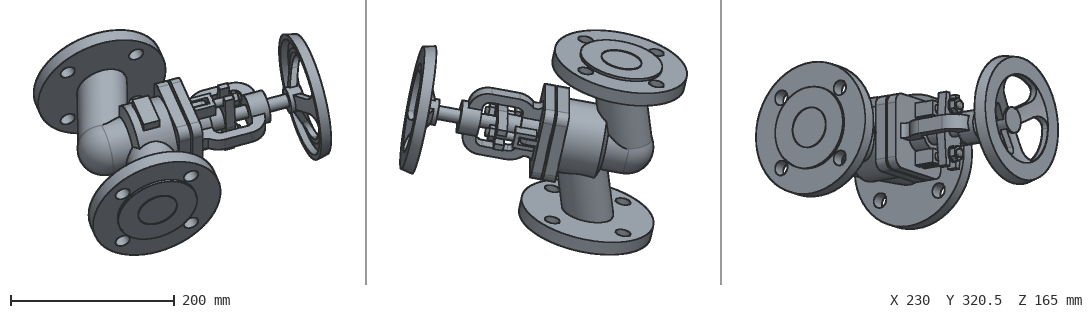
import cadquery as cq
import math


OVERALL_HEIGHT = 320.5

FACE_TO_FACE = 230.0
FLANGE_RADIUS = 165.0 / 2
FLANGE_THICKNESS = 17.3
RAISED_FACE_RADIUS = 51.0
RAISED_FACE_HEIGHT = 3.2
BORE_RADIUS = 25.0
BORE_DEPTH = 1.0
BOLT_CIRCLE_RADIUS = 62.5
BOLT_HOLE_RADIUS = 9.3
BOLT_COUNT = 4

PIPE_RADIUS = 30.8
DOME_DEPTH = 29.5
PIPE_OFFSET = 30.8
NECK_RADIUS = 33.0
NECK_TOP = -2.0
BOWL_RADIUS = 45.5
BOWL_BOTTOM = 3.5
PLATE_LENGTH = 42.3
PLATE_BOTTOM = 14.0
PLATE_TOP = 35.0
PLATE_HEIGHT = 52.0

SQUARE_SIDE = 94.0
SQUARE_CORNER = 12.8
BODY_SQUARE_BOTTOM = 51.3
BODY_SQUARE_TOP = 66.5
BONNET_BOTTOM = 69.0
BONNET_TOP = 81.7
GASKET_RADIUS = 39.7

YOKE_THICKNESS = 18.3
YOKE_HALF_WIDTH = 41.7
YOKE_TOP = 171.5
YOKE_SHOULDER_RADIUS = 24.5
YOKE_BEND_TOP = 112.2
YOKE_BEND_MIDDLE = (39.0, 101.5)
YOKE_BEND_END = (33.5, 93.5)
YOKE_WAIST = (33.0, 87.8)
YOKE_FOOT_HALF_WIDTH = 36.5
YOKE_WINDOW_HALF_WIDTH = 29.8
YOKE_WINDOW_CORNER = 9.0
HUB_RADIUS = 20.2
CHAMBER_TOP = 104.2
BUSH_BOTTOM = 154.5
BUSH_TOP = 179.0

GLAND_RADIUS = 13.8
GLAND_PLATE_BOTTOM = 122.0
GLAND_PLATE_TOP = 134.0
GLAND_PLATE_WIDTH = 35.5
GLAND_PLATE_END_WIDTH = 27.0
GLAND_PLATE_LENGTH = 92.3
GLAND_SLOT_WIDTH = 12.2

STUD_OFFSET = 30.0
STUD_RADIUS = 5.0
STUD_TOP = 146.8
STUD_END_ROUND = 1.5
WASHER_RADIUS = 10.0
WASHER_THICKNESS = 1.5
NUT_CORNERS = 19.2
NUT_HEIGHT = 7.0
STIRRUP_BOTTOM = 84.5
STIRRUP_TOP = 111.0
STIRRUP_WIDTH = 20.8
STIRRUP_DEPTH = 18.0
STIRRUP_SLOT_WIDTH = 10.0
STIRRUP_SLOT_TOP = 105.0
LUG_WIDTH = 7.0
LUG_TOP = 102.5
LUG_DEPTH = 16.0
LUG_ROUND = 6.5

WHEEL_TOP = OVERALL_HEIGHT - FLANGE_RADIUS
WHEEL_BOTTOM = 223.7
WHEEL_TOP_RADIUS = 76.3
WHEEL_BOTTOM_RADIUS = 79.5
RIM_INNER_BOTTOM_RADIUS = 73.0
RIM_INNER_TOP_RADIUS = 70.8
WEB_BOTTOM = 232.5
STEP_RADIUS = 60.5
STEP_BOTTOM = 229.5
CONE_RADIUS = 55.0
WHEEL_HUB_RADIUS = 16.0
WHEEL_HUB_BOTTOM = 207.0
WHEEL_HUB_TOP = 225.0
CONE_BOTTOM = 212.8
WINDOW_RADIUS = 54.5
WINDOW_CORNER = 12.2
SPOKE_WIDTH = 19.2
SPOKE_HEIGHT = 9.3
SPOKE_COUNT = 3
STEM_RADIUS = 8.3


def cylinder(radius, bottom, top, z=0):
    """Cylinder along the stem direction."""
    return cq.Workplane("XZ", origin=(0, bottom, z)).circle(radius).extrude(bottom - top)


def block(width, bottom, top, depth, z=0):
    """Box centred on X = 0 and on the given Z."""
    return cq.Workplane("XY").box(width, top - bottom, depth).translate((0, (top + bottom) / 2, z))


def revolve_about_stem(points):
    """Solid of revolution from (radius, height) points."""
    return cq.Workplane("XY").polyline(points).close().revolve(360, (0, 0, 0), (0, 1, 0))


def pipe_flange():
    """Flange on the -X side with a raised face, a shallow bore recess and four bolt holes."""
    face = -FACE_TO_FACE / 2
    back = face + RAISED_FACE_HEIGHT
    raised = cq.Workplane("YZ", origin=(face, 0, 0)).circle(RAISED_FACE_RADIUS).extrude(RAISED_FACE_HEIGHT)
    disc = cq.Workplane("YZ", origin=(back, 0, 0)).circle(FLANGE_RADIUS).extrude(FLANGE_THICKNESS)
    holes = (
        cq.Workplane("YZ", origin=(back, 0, 0))
        .polarArray(BOLT_CIRCLE_RADIUS, 180 / BOLT_COUNT, 360, BOLT_COUNT)
        .circle(BOLT_HOLE_RADIUS)
        .extrude(FLANGE_THICKNESS)
    )
    recess = cq.Workplane("YZ", origin=(face, 0, 0)).circle(BORE_RADIUS).extrude(BORE_DEPTH)
    return disc.union(raised).cut(holes).cut(recess)


def pipe():
    """Inclined pipe from inside the -X flange down to the bottom of the neck."""
    run = FACE_TO_FACE / 2 - RAISED_FACE_HEIGHT - FLANGE_THICKNESS
    slope = cq.Vector(run, -PIPE_OFFSET, 0)
    overlap = slope.normalized() * (FLANGE_THICKNESS / 2)
    start = cq.Vector(-run, 0, 0) - overlap
    tube = cq.Solid.makeCylinder(PIPE_RADIUS, slope.Length + overlap.Length, start, slope)
    return cq.Workplane(tube)


def body():
    """Bowl, neck and dome around the stem, with a pipe and flange on each side."""
    side = pipe_flange().union(pipe())
    opposite = side.rotate((0, 0, 0), (0, 0, 1), 180)
    diagonal = NECK_RADIUS * math.sqrt(0.5)
    bowl = (
        cq.Workplane("XY")
        .moveTo(0, -DOME_DEPTH - NECK_RADIUS)
        .threePointArc((diagonal, -DOME_DEPTH - diagonal), (NECK_RADIUS, -DOME_DEPTH))
        .lineTo(NECK_RADIUS, NECK_TOP)
        .lineTo(BOWL_RADIUS, BOWL_BOTTOM)
        .lineTo(BOWL_RADIUS, BODY_SQUARE_BOTTOM)
        .lineTo(0, BODY_SQUARE_BOTTOM)
        .close()
        .revolve(360, (0, 0, 0), (0, 1, 0))
    )
    name_plate = block(PLATE_LENGTH, PLATE_BOTTOM, PLATE_TOP, PLATE_HEIGHT, PLATE_HEIGHT / 2)
    return bowl.union(side).union(opposite).union(name_plate)


def square_flange(bottom, top):
    return block(SQUARE_SIDE, bottom, top, SQUARE_SIDE).edges("|Y").fillet(SQUARE_CORNER)


def bonnet_joint():
    """Two square flanges with a round gasket between them."""
    gasket = cylinder(GASKET_RADIUS, BODY_SQUARE_TOP, BONNET_BOTTOM)
    lower = square_flange(BODY_SQUARE_BOTTOM, BODY_SQUARE_TOP)
    upper = square_flange(BONNET_BOTTOM, BONNET_TOP)
    return lower.union(gasket).union(upper)


def yoke_side():
    """Solid +X half of the yoke frame, from the foot up to the top."""
    shoulder_x = YOKE_HALF_WIDTH - YOKE_SHOULDER_RADIUS
    shoulder_y = YOKE_TOP - YOKE_SHOULDER_RADIUS
    diagonal = YOKE_SHOULDER_RADIUS * math.sqrt(0.5)
    return (
        cq.Workplane("XY", origin=(0, 0, -YOKE_THICKNESS / 2))
        .moveTo(0, BONNET_TOP)
        .lineTo(YOKE_FOOT_HALF_WIDTH, BONNET_TOP)
        .threePointArc(YOKE_WAIST, YOKE_BEND_END)
        .threePointArc(YOKE_BEND_MIDDLE, (YOKE_HALF_WIDTH, YOKE_BEND_TOP))
        .lineTo(YOKE_HALF_WIDTH, shoulder_y)
        .threePointArc((shoulder_x + diagonal, shoulder_y + diagonal), (shoulder_x, YOKE_TOP))
        .lineTo(0, YOKE_TOP)
        .close()
        .extrude(YOKE_THICKNESS)
    )


def yoke():
    """Open frame with the packing chamber at its foot and the stem bush at its top."""
    half = yoke_side()
    window = block(2 * YOKE_WINDOW_HALF_WIDTH, CHAMBER_TOP, BUSH_BOTTOM, YOKE_THICKNESS)
    window = window.edges("|Z").fillet(YOKE_WINDOW_CORNER)
    frame = half.union(half.mirror("YZ")).cut(window)
    chamber = cylinder(HUB_RADIUS, BONNET_TOP, CHAMBER_TOP)
    bush = cylinder(HUB_RADIUS, BUSH_BOTTOM, BUSH_TOP)
    return frame.union(chamber).union(bush)


def gland():
    """Packing follower under a tapered plate that is slotted at both ends for the studs."""
    follower = cylinder(GLAND_RADIUS, CHAMBER_TOP, GLAND_PLATE_BOTTOM)
    middle = GLAND_PLATE_WIDTH / 2
    end = GLAND_PLATE_END_WIDTH / 2
    reach = GLAND_PLATE_LENGTH / 2
    outline = [(middle, 0), (end, reach), (-end, reach), (-middle, 0), (-end, -reach), (end, -reach)]
    plate = (
        cq.Workplane("XZ", origin=(0, GLAND_PLATE_BOTTOM, 0))
        .polyline(outline)
        .close()
        .extrude(GLAND_PLATE_BOTTOM - GLAND_PLATE_TOP)
    )
    slot_length = reach - STUD_OFFSET
    for side in (1, -1):
        slot_end = cylinder(GLAND_SLOT_WIDTH / 2, GLAND_PLATE_BOTTOM, GLAND_PLATE_TOP, side * STUD_OFFSET)
        slot = block(
            GLAND_SLOT_WIDTH,
            GLAND_PLATE_BOTTOM,
            GLAND_PLATE_TOP,
            slot_length,
            side * (STUD_OFFSET + slot_length / 2),
        )
        plate = plate.cut(slot_end).cut(slot)
    return follower.union(plate)


def gland_stud(z):
    """Swing stud with its nut and washer, the stirrup at its foot and the bonnet lug inside it."""
    stud = cylinder(STUD_RADIUS, STIRRUP_SLOT_TOP, STUD_TOP, z).faces(">Y").edges().fillet(STUD_END_ROUND)
    nut_bottom = GLAND_PLATE_TOP + WASHER_THICKNESS
    washer = cylinder(WASHER_RADIUS, GLAND_PLATE_TOP, nut_bottom, z)
    nut = (
        cq.Workplane("XZ", origin=(0, nut_bottom, z))
        .transformed(rotate=(0, 0, 90))
        .polygon(6, NUT_CORNERS)
        .extrude(-NUT_HEIGHT)
    )
    stirrup = block(STIRRUP_WIDTH, STIRRUP_BOTTOM, STIRRUP_TOP, STIRRUP_DEPTH, z)
    slot = block(STIRRUP_SLOT_WIDTH, STIRRUP_BOTTOM, STIRRUP_SLOT_TOP, STIRRUP_DEPTH, z)
    lug = block(LUG_WIDTH, BONNET_TOP, LUG_TOP, LUG_DEPTH, z).edges("|X and >Y").fillet(LUG_ROUND)
    return stud.union(washer).union(nut).union(stirrup.cut(slot)).union(lug)


def wheel_window():
    """Opening between two spokes on the +Z side, rounded at its outer corners."""
    height = WHEEL_TOP - WHEEL_HUB_BOTTOM
    half_angle = math.pi / SPOKE_COUNT
    apex = SPOKE_WIDTH / 2 / math.sin(half_angle)
    reach = 2 * WINDOW_RADIUS
    sector = (
        cq.Workplane("XZ", origin=(0, WHEEL_HUB_BOTTOM, 0))
        .moveTo(0, apex)
        .lineTo(reach * math.sin(half_angle), apex + reach * math.cos(half_angle))
        .lineTo(-reach * math.sin(half_angle), apex + reach * math.cos(half_angle))
        .close()
        .extrude(-height)
    )
    disc = cylinder(WINDOW_RADIUS, WHEEL_HUB_BOTTOM, WHEEL_TOP)
    return sector.intersect(disc).edges("|Y").edges("not(<Z)").fillet(WINDOW_CORNER)


def handwheel():
    """Dished wheel with a grooved rim, conical spokes and a cylindrical hub."""
    wheel = revolve_about_stem([
        (0, CONE_BOTTOM + SPOKE_HEIGHT),
        (WHEEL_HUB_RADIUS, CONE_BOTTOM + SPOKE_HEIGHT),
        (CONE_RADIUS, WHEEL_TOP),
        (WHEEL_TOP_RADIUS, WHEEL_TOP),
        (WHEEL_BOTTOM_RADIUS, WHEEL_BOTTOM),
        (RIM_INNER_BOTTOM_RADIUS, WHEEL_BOTTOM),
        (RIM_INNER_TOP_RADIUS, WEB_BOTTOM),
        (STEP_RADIUS, WEB_BOTTOM),
        (STEP_RADIUS, STEP_BOTTOM),
        (CONE_RADIUS, STEP_BOTTOM),
        (WHEEL_HUB_RADIUS, CONE_BOTTOM),
        (0, CONE_BOTTOM),
    ])
    window = wheel_window()
    for index in range(SPOKE_COUNT):
        wheel = wheel.cut(window.rotate((0, 0, 0), (0, 1, 0), index * 360 / SPOKE_COUNT))
    return wheel.union(cylinder(WHEEL_HUB_RADIUS, WHEEL_HUB_BOTTOM, WHEEL_HUB_TOP))


def stem():
    return cylinder(STEM_RADIUS, CHAMBER_TOP, WHEEL_HUB_BOTTOM)


result = body().union(bonnet_joint()).union(yoke()).union(gland()).union(stem()).union(handwheel())
for stud_z in (STUD_OFFSET, -STUD_OFFSET):
    result = result.union(gland_stud(stud_z))